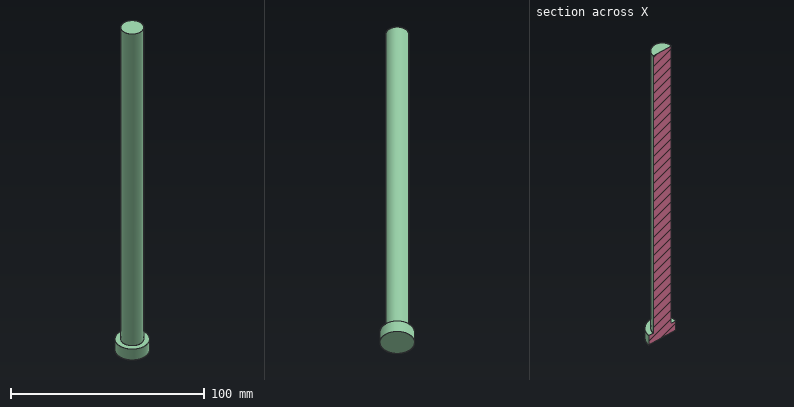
import cadquery as cq

total_length = 207.0
head_diameter = 18.0
head_height = 7.0
shank_diameter = 12.0

head = cq.Workplane("XY").circle(head_diameter / 2).extrude(head_height)
shank = cq.Workplane("XY").circle(shank_diameter / 2).extrude(total_length)

result = head.union(shank)